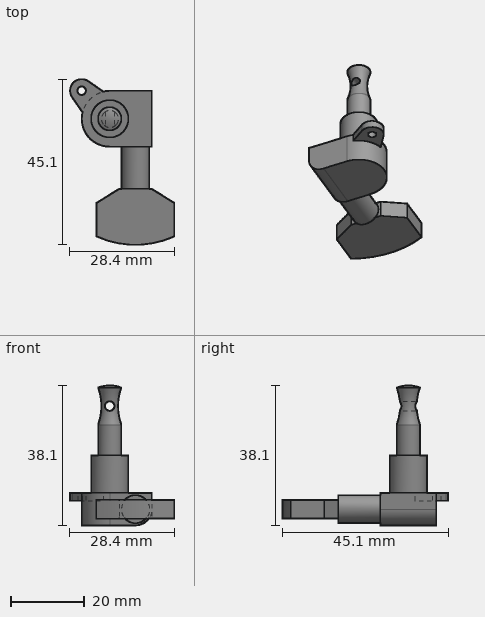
import cadquery as cq
import math


housing_radius = 7.62
housing_height = 8.89
housing_right = 11.43
edge_round = housing_height / 2

bushing_radius = 10.16 / 2
ear_offset = housing_radius
ear_radius = 3.175
ear_thickness = 2.159
ear_hole_diameter = 2.25

bushing_height = 10.16
post_radius = 6.35 / 2
post_straight_height = 8.382
post_waist_radius = 2.3
post_dome_height = 0.635
total_height = 38.1
string_hole_diameter = 2.54
bushing_top = housing_height + bushing_height
neck_bottom = bushing_top + post_straight_height
neck_top = total_height - post_dome_height
neck_middle = (neck_bottom + neck_top) / 2

shaft_diameter = 7.62
shaft_length = 11.43
shaft_x = housing_right - edge_round
shaft_z = edge_round

button_half_width = 10.59
button_half_neck = 4.445
button_length = 15.24
button_shoulder = 3.81
button_end_radius = 25.4
button_thickness = 5.08
button_start = -housing_radius - shaft_length


def make_housing():
    block = (
        cq.Workplane("XY")
        .moveTo(0, housing_radius)
        .threePointArc((-housing_radius, 0), (0, -housing_radius))
        .lineTo(housing_right, -housing_radius)
        .lineTo(housing_right, housing_radius)
        .close()
        .extrude(housing_height)
    )
    return block.edges("|Y and >X and <Z").fillet(edge_round)


def make_ear():
    ear_distance = math.hypot(ear_offset, ear_offset)
    tangent_angle = math.acos((bushing_radius - ear_radius) / ear_distance)
    cosine = math.cos(tangent_angle)
    sine = math.sin(tangent_angle)
    bushing_tangent = (bushing_radius * cosine, bushing_radius * sine)
    ear_tangent = (ear_distance + ear_radius * cosine, ear_radius * sine)

    ear = (
        cq.Workplane("XY")
        .moveTo(bushing_tangent[0], -bushing_tangent[1])
        .lineTo(ear_tangent[0], -ear_tangent[1])
        .threePointArc((ear_distance + ear_radius, 0), ear_tangent)
        .lineTo(*bushing_tangent)
        .close()
        .extrude(ear_thickness)
    )
    hole = cq.Workplane("XY").center(ear_distance, 0).circle(ear_hole_diameter / 2).extrude(ear_thickness)
    corner_angle = 135
    return (
        ear.cut(hole)
        .rotate((0, 0, 0), (0, 0, 1), corner_angle)
        .translate((0, 0, housing_height - ear_thickness))
    )


def make_bushing():
    return cq.Workplane("XY").circle(bushing_radius).extrude(bushing_top)


def make_post():
    dome_radius = (post_radius**2 + post_dome_height**2) / (2 * post_dome_height)
    dome_mid_x = post_radius / 2
    dome_mid_z = total_height - dome_radius + math.sqrt(dome_radius**2 - dome_mid_x**2)
    post = (
        cq.Workplane("XZ")
        .moveTo(0, housing_height)
        .lineTo(post_radius, housing_height)
        .lineTo(post_radius, neck_bottom)
        .threePointArc((post_waist_radius, neck_middle), (post_radius, neck_top))
        .threePointArc((dome_mid_x, dome_mid_z), (0, total_height))
        .close()
        .revolve(360, (0, 0, 0), (0, 1, 0))
    )
    string_hole = (
        cq.Workplane("XZ")
        .center(0, neck_middle)
        .circle(string_hole_diameter / 2)
        .extrude(post_radius, both=True)
    )
    return post.cut(string_hole)


def make_shaft():
    return (
        cq.Workplane("XZ")
        .center(shaft_x, shaft_z)
        .circle(shaft_diameter / 2)
        .extrude(-button_start)
    )


def make_button():
    button_end = button_start - button_length
    end_rise = button_end_radius - math.sqrt(button_end_radius**2 - button_half_width**2)
    shoulder_y = button_start - button_shoulder
    corner_y = button_end + end_rise
    return (
        cq.Workplane("XY", origin=(shaft_x, 0, shaft_z - button_thickness / 2))
        .moveTo(button_half_neck, button_start)
        .lineTo(button_half_width, shoulder_y)
        .lineTo(button_half_width, corner_y)
        .threePointArc((0, button_end), (-button_half_width, corner_y))
        .lineTo(-button_half_width, shoulder_y)
        .lineTo(-button_half_neck, button_start)
        .close()
        .extrude(button_thickness)
    )


result = (
    make_housing()
    .union(make_ear())
    .union(make_bushing())
    .union(make_post())
    .union(make_shaft())
    .union(make_button())
)